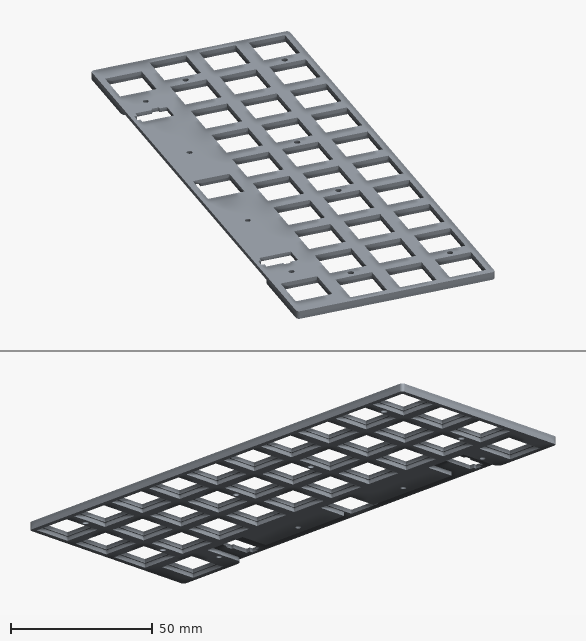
import cadquery as cq

unit = 19.0
columns = 10
rows = 4
length = columns * unit
width = rows * unit
thickness = 3.0
corner_radius = 1.24
front_edge = -width / 2

clip_size = 15.0
clip_clearance = 1.05
switch_size = clip_size - clip_clearance
bottom_row_y = front_edge + unit / 2
end_key_units = 1.5
end_key_x = length / 2 - end_key_units * unit / 2

stabilizer_x = 57.2
stabilizer_width = 6.7
stabilizer_front = -35.5
stabilizer_back = -23.2
tab_width = 3.0
tab_front = -36.5
notch_reach = 4.2
notch_front = -29.0
notch_back = -26.1

corner_hole_x = 4 * unit
corner_hole_ys = (-unit / 2, 1.5 * unit)
middle_hole_x = unit
middle_hole_y = unit / 2
hole_diameter = 2.3
bottom_hole_diameter = 2.1
bottom_hole_xs = (26.9, 67.2)

relief_height = 1.5
relief_outer_x = 65.3
relief_inner_x = 47.5
relief_back = -21.0
relief_mouth_radius = 2.3
channel_back = -32.4


def block(x_min, x_max, y_min, y_max, height):
    """Box standing on the underside plane between the given X and Y limits."""
    return cq.Workplane("XY").box(x_max - x_min, y_max - y_min, height, centered=False).translate(
        (x_min, y_min, 0)
    )


def plate_blank():
    return (
        cq.Workplane("XY")
        .box(length, width, thickness, centered=(True, True, False))
        .edges("|Z")
        .fillet(corner_radius)
    )


def switch_openings():
    centres = [
        ((column + 0.5) * unit - length / 2, width / 2 - (row + 0.5) * unit)
        for row in range(rows - 1)
        for column in range(columns)
    ]
    centres += [(x, bottom_row_y) for x in (-end_key_x, 0, end_key_x)]
    places = cq.Workplane("XY").pushPoints(centres)
    through = places.rect(switch_size, switch_size).extrude(thickness)
    clip_relief = places.rect(clip_size, clip_size).extrude(relief_height)
    return through.union(clip_relief)


def right_stabilizer_opening():
    left = stabilizer_x - stabilizer_width / 2
    right = stabilizer_x + stabilizer_width / 2
    tab_left = stabilizer_x - tab_width / 2
    tab_right = stabilizer_x + tab_width / 2
    body = block(left, right, stabilizer_front, stabilizer_back, thickness)
    tab = block(tab_left, tab_right, tab_front, stabilizer_back, thickness)
    notch = block(stabilizer_x, stabilizer_x + notch_reach, notch_front, notch_back, thickness)
    return body.union(tab).union(notch)


def screw_holes():
    upper = [(x, y) for x in (-corner_hole_x, corner_hole_x) for y in corner_hole_ys]
    upper += [(x, middle_hole_y) for x in (-middle_hole_x, middle_hole_x)]
    lower = [(side * x, bottom_row_y) for x in bottom_hole_xs for side in (-1, 1)]
    upper_holes = cq.Workplane("XY").pushPoints(upper).circle(hole_diameter / 2).extrude(thickness)
    lower_holes = cq.Workplane("XY").pushPoints(lower).circle(bottom_hole_diameter / 2).extrude(thickness)
    return upper_holes.union(lower_holes)


def right_relief():
    """Pocket around the stabilizer with a rounded mouth corner, plus a shallower channel to the centre."""
    mouth_x = relief_outer_x + relief_mouth_radius
    mouth_y = front_edge + relief_mouth_radius
    pocket = block(relief_inner_x, relief_outer_x, front_edge, relief_back, relief_height)
    mouth = block(relief_outer_x, mouth_x, front_edge, mouth_y, relief_height)
    mouth_round = (
        cq.Workplane("XY").center(mouth_x, mouth_y).circle(relief_mouth_radius).extrude(relief_height)
    )
    channel = block(0, relief_inner_x, front_edge, channel_back, relief_height)
    return pocket.union(mouth.cut(mouth_round)).union(channel)


result = plate_blank().cut(switch_openings()).cut(screw_holes())
for right_cut in (right_stabilizer_opening(), right_relief()):
    result = result.cut(right_cut).cut(right_cut.mirror("YZ"))